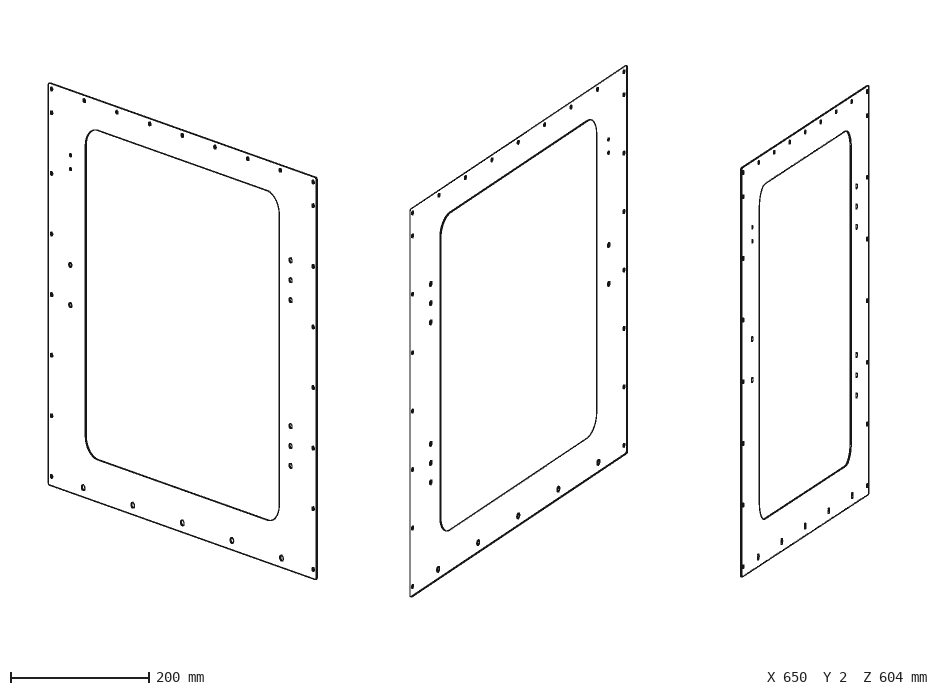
import cadquery as cq

width = 650.0
height = 604.0
thickness = 2.0
corner_radius = 3.0

window_width = 470.5
window_height = 494.5
window_center_z = 9.0
window_radius = 30.0

edge_hole_diameter = 5.5
edge_inset = 8.0
bottom_inset = 14.0
edge_column_x = width / 2 - edge_inset
top_row_z = height / 2 - edge_inset
bottom_row_z = bottom_inset - height / 2
top_hole_count = 9
top_pitch = 2 * edge_column_x / (top_hole_count - 1)
side_hole_count = 7
side_pitch = 91.0

bottom_hole_diameter = 8.5
bottom_hole_count = 5
bottom_pitch = 120.0

band_hole_diameter = 7.0
right_band_x = 262.5
right_band_pitch = 30.0
right_group_count = 3
right_group_centers_z = (134.5, -114.5)
left_pair_x = -272.0
left_pair_center_z = 10.0
left_pair_pitch = 60.5
small_hole_diameter = 4.5
small_pair_x = -271.0
small_pair_center_z = 194.5
small_pair_pitch = 21.0


def spaced(center, pitch, count):
    """Evenly spaced coordinates about a center."""
    first = center - pitch * (count - 1) / 2
    return [first + pitch * i for i in range(count)]


def prism(profile):
    """Extrude an XZ profile symmetrically through the plate thickness."""
    return profile.extrude(thickness / 2, both=True)


def rounded_block(block_width, block_height, center_z, radius):
    """Full-thickness block with rounded corners."""
    outline = cq.Workplane("XZ").center(0, center_z).rect(block_width, block_height)
    return prism(outline).edges("|Y").fillet(radius)


def holes(points, diameter):
    """Through-hole cutters at the given (x, z) points."""
    return prism(cq.Workplane("XZ").pushPoints(points).circle(diameter / 2))


top_points = [(x, top_row_z) for x in spaced(0, top_pitch, top_hole_count)]
side_points = [
    (x, bottom_row_z + side_pitch * i)
    for x in (-edge_column_x, edge_column_x)
    for i in range(side_hole_count)
]
bottom_points = [(x, bottom_row_z) for x in spaced(0, bottom_pitch, bottom_hole_count)]
right_points = [
    (right_band_x, z)
    for center_z in right_group_centers_z
    for z in spaced(center_z, right_band_pitch, right_group_count)
]
left_points = [(left_pair_x, z) for z in spaced(left_pair_center_z, left_pair_pitch, 2)]
small_points = [(small_pair_x, z) for z in spaced(small_pair_center_z, small_pair_pitch, 2)]

plate = rounded_block(width, height, 0, corner_radius)
window = rounded_block(window_width, window_height, window_center_z, window_radius)

result = (
    plate.cut(window)
    .cut(holes(top_points + side_points, edge_hole_diameter))
    .cut(holes(bottom_points, bottom_hole_diameter))
    .cut(holes(right_points + left_points, band_hole_diameter))
    .cut(holes(small_points, small_hole_diameter))
)